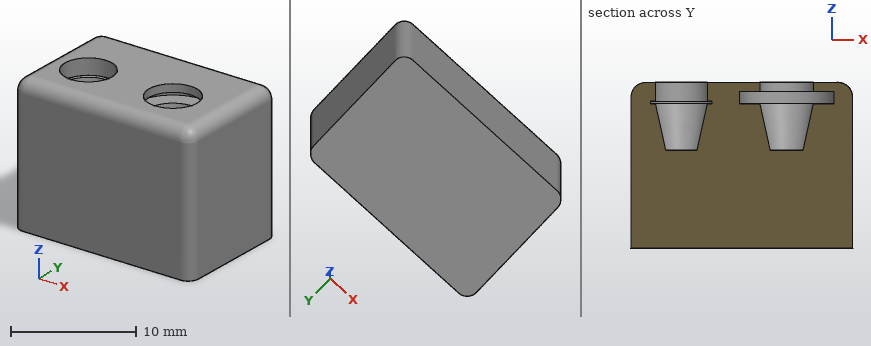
import cadquery as cq

length = 17.7
width = 11.5
height = 13.25
corner_radius = 1.01
top_radius = 1.2

socket_y = -1.05
chamber_floor_depth = 1.7
bore_length = 3.72
bore_taper = 0.69

left_socket_x = -4.81
left_mouth_diameter = 4.6
left_mouth_depth = 1.52
left_chamber_diameter = 5.31

right_socket_x = 3.58
right_mouth_diameter = 4.7
right_mouth_depth = 0.76
right_chamber_diameter = 7.79


def rounded_block():
    block = cq.Workplane("XY").box(length, width, height, centered=(True, True, False))
    block = block.edges("|Z").fillet(corner_radius)
    return block.faces(">Z").edges().fillet(top_radius)


def socket(x, mouth_diameter, mouth_depth, chamber_diameter):
    """Cutter for one socket, revolved about its own vertical axis."""
    mouth_radius = mouth_diameter / 2
    chamber_radius = chamber_diameter / 2
    bore_bottom = -chamber_floor_depth - bore_length
    half_profile = [
        (0, 0),
        (mouth_radius, 0),
        (mouth_radius, -mouth_depth),
        (chamber_radius, -mouth_depth),
        (chamber_radius, -chamber_floor_depth),
        (mouth_radius, -chamber_floor_depth),
        (mouth_radius - bore_taper, bore_bottom),
        (0, bore_bottom),
    ]
    cutter = cq.Workplane("XZ").polyline(half_profile).close().revolve(360, (0, 0, 0), (0, 1, 0))
    return cutter.translate((x, socket_y, height))


result = rounded_block()
result = result.cut(socket(left_socket_x, left_mouth_diameter, left_mouth_depth, left_chamber_diameter))
result = result.cut(socket(right_socket_x, right_mouth_diameter, right_mouth_depth, right_chamber_diameter))